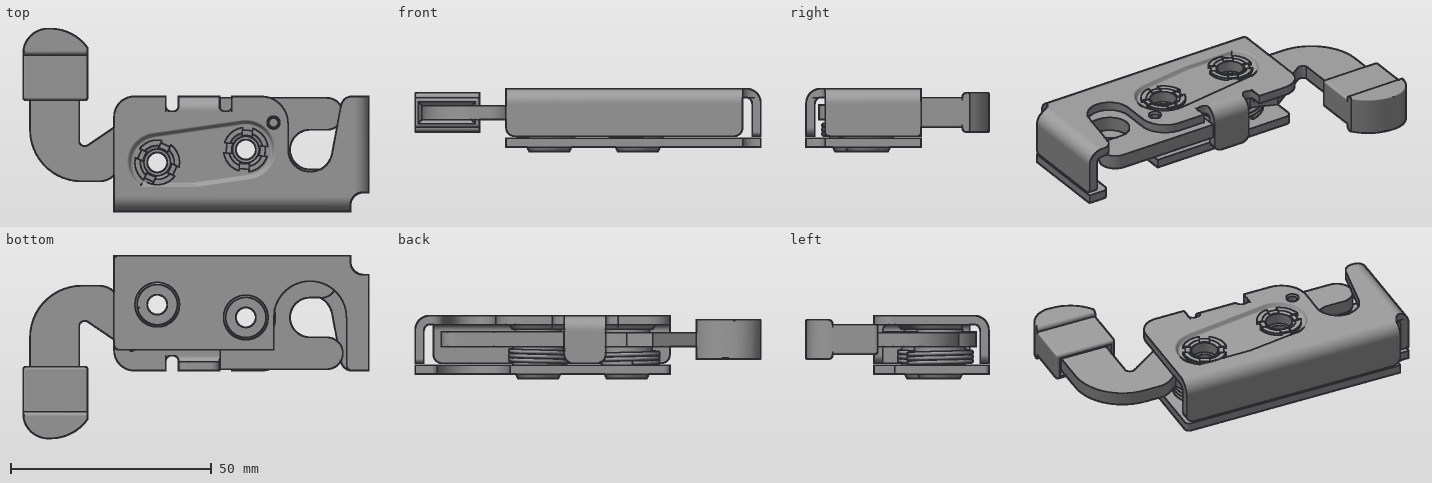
import cadquery as cq
import math


SHEET = 2.2
HOUSING_LENGTH = 63.5
HOUSING_WIDTH = 28.7
COVER_TOP = 14.6
WALL_BOTTOM = 2.7
BEND_RADIUS = 3.7
WALL_CORNER_RADIUS = 2.15
END_WALL_CORNER_RADIUS = 1.1
PANEL_CORNER_RADIUS = 5.1
COVER_UNDERSIDE = COVER_TOP - SHEET

RELIEF_X = 58.9
RELIEF_Y = 4.7
COVER_RELIEF_RADIUS = 2.9
PLATE_RELIEF_RADIUS = 3.2

TAB_START = 16.0
TAB_END = 26.3
NOTCH_WIDTH = 3.1
NOTCH_RADIUS = 1.2
TAB_BEND_Y = HOUSING_WIDTH - BEND_RADIUS

MOUTH_CENTER = (48.8, 15.4)
COVER_MOUTH_RADIUS = 5.5
COVER_MOUTH_TOP_X = 56.9
PLATE_MOUTH_RADIUS = 9.05
MOUTH_LEFT_RADIUS = 6.7
COVER_MOUTH_RIGHT_RADIUS = 2.75

PLATE_STEP_Y = 23.5
PLATE_CORNER_RADIUS = 1.1
PLATE_BACK_RADIUS = 1.5

LEVER_PIVOT = (10.8, 12.2)
ROTOR_PIVOT = (32.8, 15.4)
HOLLOW_DEPTH = 1.1
HOLLOW_RIM_RADIUS = 7.2
HOLLOW_FLOOR_RADIUS = 6.5
HOLLOW_RIM_FRONT = 6.4
HOLLOW_FLOOR_FRONT = 7.0
HOLLOW_EDGE_RADIUS = 0.5
HOLLOW_FLOOR = COVER_TOP - HOLLOW_DEPTH
HOLLOW_UNDERSIDE = COVER_UNDERSIDE - HOLLOW_DEPTH

PIN_HOLE_CENTER = (39.7, 22.1)
PIN_HOLE_DIAMETER = 2.3
PIN_SINK_DIAMETER = 3.2
PIN_SINK_ANGLE = 90

MOVING_BOTTOM = 6.8
LEVER_TOP = 10.3
ROTOR_TOP = 10.5

RIVET_SHANK = 8.4
RIVET_HEAD = 11.1
RIVET_FOOT_END = 10.0
RIVET_FOOT_HEIGHT = 1.1
RIVET_TOP = 14.0
RIVET_SHOULDER = 12.7
RIVET_COLLAR = 11.4
RIVET_HOLE = 4.9
RIVET_BORE = 6.6
RIVET_BORE_FLOOR = 10.8
RIVET_SINK_DEPTH = 0.35
RIVET_SLOT_WIDTH = 2.5
RIVET_SLOT_DEPTH = 0.3
RIVET_CORE = 9.65
LEVER_RIVET_TURN = 65
ROTOR_RIVET_TURN = 85
RIVET_SLOTS = 4

LEVER_LEFT = -20.9
LEVER_RIGHT = -8.6
LEVER_MIDDLE_X = (LEVER_LEFT + LEVER_RIGHT) / 2
LEVER_END_Y = 37.0
LEVER_BOTTOM_Y = 7.5
LEVER_BEND_RADIUS = 12.9
LEVER_HEEL_START_X = -4.0
LEVER_HEEL_POINT = (-2.1, 7.75)
LEVER_HEEL_END = (-0.4, 8.6)
LEVER_HUB_FRONT = (2.1, 10.6)
LEVER_SHOULDER = (4.3, 23.9)
LEVER_CROTCH_START = (LEVER_RIGHT, 17.2)
LEVER_CROTCH_POINT = (-7.7, 16.4)
LEVER_CROTCH_END = (-6.4, 16.6)
LEVER_MIDDLE_Z = (MOVING_BOTTOM + LEVER_TOP) / 2
LEVER_HUB_RADIUS = 9.05

GRIP_LEFT = -22.65
GRIP_RIGHT = -6.55
GRIP_MIDDLE_X = (GRIP_LEFT + GRIP_RIGHT) / 2
GRIP_BOTTOM_Y = 27.65
GRIP_TOP_Y = 45.6
GRIP_STEP_Y = 38.9
KNOB_STEP_RADIUS = 1.0
KNOB_ARC_START_Y = 39.3
KNOB_HALF_HEIGHT = 4.9
NECK_HALF_HEIGHT = 3.7
GRIP_MIDDLE_Z = 8.6
GRIP_END_RADIUS = 0.8
NECK_EDGE_RADIUS = 0.5
KNOB_EDGE_RADIUS = 0.35
SOCKET_FLARE = 0.95
KNOB_APEX = (-15.85, GRIP_TOP_Y)
KNOB_LEFT_POINT = (-20.8, 43.8)
KNOB_RIGHT_POINT = (-10.4, 44.2)
KNOB_RIGHT_END = (GRIP_RIGHT, 40.75)

ROTOR_LEFT = 26.45
ROTOR_FRONT = 3.2
ROTOR_BACK = 28.3
ROTOR_SLOT_CENTER = (48.75, 15.4)
ROTOR_SLOT_RADIUS = 4.9
UPPER_FINGER_X = 53.0
LOWER_FINGER_X = 51.7

WIRE = 1.0
COIL_PITCH = 1.08
LEVER_COIL_RADIUS = 7.75
ROTOR_COIL_RADIUS = 6.85
LEVER_COIL_TURNS = 2.5
ROTOR_COIL_TURNS = 3
COIL_START = SHEET + WIRE / 2

EDGE_REACH = 0.1

PIVOT_SPAN = math.dist(LEVER_PIVOT, ROTOR_PIVOT)
PIVOT_ANGLE = math.atan2(ROTOR_PIVOT[1] - LEVER_PIVOT[1], ROTOR_PIVOT[0] - LEVER_PIVOT[0])


def on_circle(center, radius, angle):
    return (center[0] + radius * math.cos(angle), center[1] + radius * math.sin(angle))


def block(x0, x1, y0, y1, z0, z1):
    return cq.Workplane("XY").box(x1 - x0, y1 - y0, z1 - z0, centered=False).translate((x0, y0, z0))


def disc(center, diameter, z0, z1):
    return cq.Workplane("XY", origin=(*center, z0)).circle(diameter / 2).extrude(z1 - z0)


def round_corner(body, x, y, radius):
    """Rounds the vertical edge that stands at (x, y)."""
    corner = cq.selectors.BoxSelector(
        (x - EDGE_REACH, y - EDGE_REACH, 0), (x + EDGE_REACH, y + EDGE_REACH, COVER_TOP)
    )
    return body.edges("|Z").edges(corner).fillet(radius)


def mouth_cutter(radius, top_x, z0, z1):
    """Round-bottomed mouth with an upright left side and a right side that runs to top_x."""
    top = (top_x, HOUSING_WIDTH)
    direction = math.atan2(top[1] - MOUTH_CENTER[1], top[0] - MOUTH_CENTER[0])
    touch_angle = direction - math.acos(radius / math.dist(top, MOUTH_CENTER))
    left_x = MOUTH_CENTER[0] - radius
    return (
        cq.Workplane("XY", origin=(0, 0, z0))
        .moveTo(left_x, HOUSING_WIDTH)
        .lineTo(left_x, MOUTH_CENTER[1])
        .threePointArc(
            (MOUTH_CENTER[0], MOUTH_CENTER[1] - radius),
            on_circle(MOUTH_CENTER, radius, touch_angle),
        )
        .lineTo(*top)
        .close()
        .extrude(z1 - z0)
    )


def relief_cutter(radius, z0, z1):
    cutter = block(RELIEF_X, HOUSING_LENGTH + 0.9, -0.9, RELIEF_Y, z0, z1)
    return round_corner(cutter, RELIEF_X, RELIEF_Y, radius)


def folded_wall(length):
    """Wall along +X with its outer face at y = 0 and a bend to the top, down to WALL_BOTTOM."""
    inner_radius = BEND_RADIUS - SHEET
    half = math.sqrt(0.5)
    bend_center = (BEND_RADIUS, COVER_TOP - BEND_RADIUS)
    return (
        cq.Workplane("YZ")
        .moveTo(0, WALL_BOTTOM)
        .lineTo(0, bend_center[1])
        .threePointArc(
            (bend_center[0] - BEND_RADIUS * half, bend_center[1] + BEND_RADIUS * half),
            (bend_center[0], COVER_TOP),
        )
        .lineTo(bend_center[0], COVER_UNDERSIDE)
        .threePointArc(
            (bend_center[0] - inner_radius * half, bend_center[1] + inner_radius * half),
            (SHEET, bend_center[1]),
        )
        .lineTo(SHEET, WALL_BOTTOM)
        .close()
        .extrude(length)
    )


def hollow_outline(plane, radius, front_y):
    """Hull of equal circles about both pivots, cut off straight at front_y."""
    back = PIVOT_ANGLE + math.pi / 2
    front = PIVOT_ANGLE - math.pi / 2
    front_touch = on_circle(ROTOR_PIVOT, radius, front)
    left_x = LEVER_PIVOT[0] - math.sqrt(radius**2 - (LEVER_PIVOT[1] - front_y) ** 2)
    right_x = front_touch[0] - (front_touch[1] - front_y) / math.tan(PIVOT_ANGLE)
    return (
        plane.moveTo(left_x, front_y)
        .lineTo(right_x, front_y)
        .lineTo(*front_touch)
        .threePointArc(
            on_circle(ROTOR_PIVOT, radius, PIVOT_ANGLE), on_circle(ROTOR_PIVOT, radius, back)
        )
        .lineTo(*on_circle(LEVER_PIVOT, radius, back))
        .threePointArc(on_circle(LEVER_PIVOT, radius, PIVOT_ANGLE + math.pi), (left_x, front_y))
        .close()
    )


def hollow(top):
    """Tapered plug of the pressed hollow, HOLLOW_DEPTH deep below top."""
    rim = hollow_outline(
        cq.Workplane("XY", origin=(0, 0, top)), HOLLOW_RIM_RADIUS, HOLLOW_RIM_FRONT
    )
    floor_plane = rim.workplane(offset=-HOLLOW_DEPTH)
    return hollow_outline(floor_plane, HOLLOW_FLOOR_RADIUS, HOLLOW_FLOOR_FRONT).loft(ruled=True)


def make_panel():
    """Flat top of the cover, inside the bends of the walls."""
    right_x = HOUSING_LENGTH - BEND_RADIUS
    mouth_left = MOUTH_CENTER[0] - COVER_MOUTH_RADIUS
    panel = block(0, right_x, BEND_RADIUS, HOUSING_WIDTH, COVER_UNDERSIDE, COVER_TOP)
    panel = panel.cut(
        mouth_cutter(COVER_MOUTH_RADIUS, COVER_MOUTH_TOP_X, COVER_UNDERSIDE, COVER_TOP)
    )
    panel = round_corner(panel, 0, HOUSING_WIDTH, PANEL_CORNER_RADIUS)
    panel = round_corner(panel, mouth_left, HOUSING_WIDTH, MOUTH_LEFT_RADIUS)
    panel = round_corner(panel, COVER_MOUTH_TOP_X, HOUSING_WIDTH, COVER_MOUTH_RIGHT_RADIUS)
    tab_space = block(
        TAB_START - NOTCH_WIDTH, TAB_END + NOTCH_WIDTH, TAB_BEND_Y, HOUSING_WIDTH, 0, COVER_TOP
    )
    return panel.cut(tab_space)


def make_walls():
    """Front wall, end wall and back tab, each with its bend."""
    front_wall = folded_wall(RELIEF_X + COVER_RELIEF_RADIUS)
    end_start = RELIEF_Y - COVER_RELIEF_RADIUS
    end_wall = (
        folded_wall(HOUSING_WIDTH - end_start)
        .rotate((0, 0, 0), (0, 0, 1), 90)
        .translate((HOUSING_LENGTH, end_start, 0))
    )
    tab = (
        folded_wall(TAB_END - TAB_START + 2 * NOTCH_WIDTH)
        .mirror("XZ")
        .translate((TAB_START - NOTCH_WIDTH, HOUSING_WIDTH, 0))
    )
    for notch_start in (TAB_START - NOTCH_WIDTH, TAB_END):
        notch_end = notch_start + NOTCH_WIDTH
        notch = block(notch_start, notch_end, TAB_BEND_Y, HOUSING_WIDTH + 0.9, 0, COVER_TOP)
        notch = round_corner(notch, notch_start, TAB_BEND_Y, NOTCH_RADIUS)
        notch = round_corner(notch, notch_end, TAB_BEND_Y, NOTCH_RADIUS)
        tab = tab.cut(notch)
    return front_wall.union(end_wall).union(tab)


def round_wall_corners(cover):
    """Rounds the free lower corners of the front wall, tab and end wall."""
    z0 = WALL_BOTTOM - EDGE_REACH
    z1 = WALL_BOTTOM + EDGE_REACH
    end_inside_x = HOUSING_LENGTH - SHEET
    front_and_back = cq.selectors.BoxSelector(
        (-EDGE_REACH, 0, z0), (RELIEF_X + EDGE_REACH, HOUSING_WIDTH, z1)
    )
    end = cq.selectors.BoxSelector((end_inside_x, 0, z0), (HOUSING_LENGTH, 2 * HOUSING_WIDTH, z1))
    cover = cover.edges("|Y").edges(front_and_back).fillet(WALL_CORNER_RADIUS)
    return cover.edges("|X").edges(end).fillet(END_WALL_CORNER_RADIUS)


def press_hollow(cover):
    """Presses the hollow into the panel and rounds its rim and its floor edge."""
    plug = hollow(COVER_TOP).faces("<Z").edges().fillet(HOLLOW_EDGE_RADIUS)
    cover = cover.union(hollow(COVER_UNDERSIDE)).cut(plug)
    left_x = LEVER_PIVOT[0] - HOLLOW_RIM_RADIUS - EDGE_REACH
    right_x = ROTOR_PIVOT[0] + HOLLOW_RIM_RADIUS + EDGE_REACH
    rim = cq.selectors.BoxSelector(
        (left_x, HOLLOW_RIM_FRONT - EDGE_REACH, COVER_TOP - EDGE_REACH),
        (right_x, TAB_BEND_Y - EDGE_REACH, COVER_TOP + EDGE_REACH),
        boundingbox=True,
    )
    return cover.edges(rim).fillet(HOLLOW_EDGE_RADIUS)


def make_cover():
    cover = make_panel().union(make_walls())
    cover = cover.cut(relief_cutter(COVER_RELIEF_RADIUS, COVER_UNDERSIDE, COVER_TOP))
    cover = cover.cut(
        block(RELIEF_X, HOUSING_LENGTH, 0, RELIEF_Y, WALL_BOTTOM, COVER_UNDERSIDE)
    )
    cover = round_wall_corners(cover)
    cover = press_hollow(cover)
    for pivot in (LEVER_PIVOT, ROTOR_PIVOT):
        cover = cover.cut(disc(pivot, RIVET_HEAD, HOLLOW_FLOOR, COVER_TOP))
        cover = cover.cut(disc(pivot, RIVET_SHANK, HOLLOW_UNDERSIDE, HOLLOW_FLOOR))
    return (
        cover.faces(">Z")
        .workplane(origin=(*PIN_HOLE_CENTER, COVER_TOP))
        .cskHole(PIN_HOLE_DIAMETER, PIN_SINK_DIAMETER, PIN_SINK_ANGLE)
    )


def make_plate():
    plate = block(0, HOUSING_LENGTH, 0, HOUSING_WIDTH, 0, SHEET)
    plate = plate.cut(block(-0.9, MOUTH_CENTER[0], PLATE_STEP_Y, HOUSING_WIDTH + 0.9, 0, SHEET))
    mouth_right = MOUTH_CENTER[0] + PLATE_MOUTH_RADIUS
    plate = plate.cut(mouth_cutter(PLATE_MOUTH_RADIUS, mouth_right, 0, SHEET))
    plate = plate.cut(relief_cutter(PLATE_RELIEF_RADIUS, 0, SHEET))
    plate = round_corner(plate, 0, 0, PLATE_CORNER_RADIUS)
    plate = round_corner(plate, 0, PLATE_STEP_Y, PLATE_BACK_RADIUS)
    plate = round_corner(plate, mouth_right, HOUSING_WIDTH, PLATE_BACK_RADIUS)
    for pivot in (LEVER_PIVOT, ROTOR_PIVOT):
        plate = plate.cut(disc(pivot, RIVET_SHANK, 0, SHEET))
    return plate


def make_lever():
    bend_center = (LEVER_LEFT + LEVER_BEND_RADIUS, LEVER_BOTTOM_Y + LEVER_BEND_RADIUS)
    arm = (
        cq.Workplane("XY", origin=(0, 0, MOVING_BOTTOM))
        .moveTo(LEVER_LEFT, LEVER_END_Y)
        .lineTo(LEVER_LEFT, bend_center[1])
        .threePointArc(
            on_circle(bend_center, LEVER_BEND_RADIUS, math.radians(225)),
            (bend_center[0], LEVER_BOTTOM_Y),
        )
        .lineTo(LEVER_HEEL_START_X, LEVER_BOTTOM_Y)
        .threePointArc(LEVER_HEEL_POINT, LEVER_HEEL_END)
        .lineTo(*LEVER_HUB_FRONT)
        .lineTo(*LEVER_PIVOT)
        .lineTo(LEVER_PIVOT[0], LEVER_PIVOT[1] + LEVER_HUB_RADIUS)
        .lineTo(*LEVER_SHOULDER)
        .lineTo(*LEVER_CROTCH_END)
        .threePointArc(LEVER_CROTCH_POINT, LEVER_CROTCH_START)
        .lineTo(LEVER_RIGHT, LEVER_END_Y)
        .close()
        .extrude(LEVER_TOP - MOVING_BOTTOM)
    )
    hub = disc(LEVER_PIVOT, 2 * LEVER_HUB_RADIUS, MOVING_BOTTOM, LEVER_TOP)
    return arm.union(hub).cut(disc(LEVER_PIVOT, RIVET_SHANK, MOVING_BOTTOM, LEVER_TOP))


def make_grip():
    side_profile = (
        cq.Workplane("YZ", origin=(GRIP_LEFT, 0, GRIP_MIDDLE_Z))
        .moveTo(GRIP_BOTTOM_Y, -NECK_HALF_HEIGHT)
        .lineTo(GRIP_STEP_Y, -NECK_HALF_HEIGHT)
        .lineTo(GRIP_STEP_Y, -KNOB_HALF_HEIGHT)
        .lineTo(GRIP_TOP_Y, -KNOB_HALF_HEIGHT)
        .lineTo(GRIP_TOP_Y, KNOB_HALF_HEIGHT)
        .lineTo(GRIP_STEP_Y, KNOB_HALF_HEIGHT)
        .lineTo(GRIP_STEP_Y, NECK_HALF_HEIGHT)
        .lineTo(GRIP_BOTTOM_Y, NECK_HALF_HEIGHT)
        .close()
        .extrude(GRIP_RIGHT - GRIP_LEFT)
    )
    for side in (-1, 1):
        step_edge = cq.selectors.NearestToPointSelector(
            (GRIP_MIDDLE_X, GRIP_STEP_Y, GRIP_MIDDLE_Z + side * KNOB_HALF_HEIGHT)
        )
        side_profile = side_profile.edges("|X").edges(step_edge).fillet(KNOB_STEP_RADIUS)
    top_outline = (
        cq.Workplane("XY", origin=(0, 0, GRIP_MIDDLE_Z - KNOB_HALF_HEIGHT))
        .moveTo(GRIP_LEFT, GRIP_BOTTOM_Y)
        .lineTo(GRIP_LEFT, KNOB_ARC_START_Y)
        .threePointArc(KNOB_LEFT_POINT, KNOB_APEX)
        .threePointArc(KNOB_RIGHT_POINT, KNOB_RIGHT_END)
        .lineTo(GRIP_RIGHT, GRIP_BOTTOM_Y)
        .close()
        .extrude(2 * KNOB_HALF_HEIGHT)
    )
    top_outline = top_outline.faces(">Z or <Z").edges("%CIRCLE").fillet(KNOB_EDGE_RADIUS)
    grip = side_profile.intersect(top_outline)
    neck_edges = cq.selectors.BoxSelector(
        (GRIP_LEFT - 0.9, GRIP_BOTTOM_Y, GRIP_MIDDLE_Z - NECK_HALF_HEIGHT - EDGE_REACH),
        (GRIP_RIGHT + 0.9, GRIP_STEP_Y, GRIP_MIDDLE_Z + NECK_HALF_HEIGHT + EDGE_REACH),
    )
    grip = grip.edges("|Y").edges(neck_edges).fillet(NECK_EDGE_RADIUS)
    grip = grip.faces("<Y").edges().fillet(GRIP_END_RADIUS)
    socket = block(
        LEVER_LEFT, LEVER_RIGHT, GRIP_BOTTOM_Y, LEVER_END_Y, MOVING_BOTTOM, LEVER_TOP
    )
    socket_width = LEVER_RIGHT - LEVER_LEFT
    socket_height = LEVER_TOP - MOVING_BOTTOM
    flare = (
        cq.Workplane("XZ", origin=(LEVER_MIDDLE_X, GRIP_BOTTOM_Y, LEVER_MIDDLE_Z))
        .rect(socket_width + 2 * SOCKET_FLARE, socket_height + 2 * SOCKET_FLARE)
        .workplane(offset=-SOCKET_FLARE)
        .rect(socket_width, socket_height)
        .loft(ruled=True)
    )
    return grip.cut(socket).cut(flare)


def make_rotor():
    slot_top = ROTOR_SLOT_CENTER[1] + ROTOR_SLOT_RADIUS
    slot_bottom = ROTOR_SLOT_CENTER[1] - ROTOR_SLOT_RADIUS
    upper_radius = (ROTOR_BACK - slot_top) / 2
    lower_radius = (slot_bottom - ROTOR_FRONT) / 2
    return (
        cq.Workplane("XY", origin=(0, 0, MOVING_BOTTOM))
        .moveTo(ROTOR_LEFT, ROTOR_FRONT)
        .lineTo(LOWER_FINGER_X, ROTOR_FRONT)
        .threePointArc(
            (LOWER_FINGER_X + lower_radius, ROTOR_FRONT + lower_radius),
            (LOWER_FINGER_X, slot_bottom),
        )
        .lineTo(ROTOR_SLOT_CENTER[0], slot_bottom)
        .threePointArc(
            (ROTOR_SLOT_CENTER[0] - ROTOR_SLOT_RADIUS, ROTOR_SLOT_CENTER[1]),
            (ROTOR_SLOT_CENTER[0], slot_top),
        )
        .lineTo(UPPER_FINGER_X, slot_top)
        .threePointArc(
            (UPPER_FINGER_X + upper_radius, slot_top + upper_radius),
            (UPPER_FINGER_X, ROTOR_BACK),
        )
        .lineTo(ROTOR_LEFT, ROTOR_BACK)
        .close()
        .extrude(ROTOR_TOP - MOVING_BOTTOM)
        .cut(disc(ROTOR_PIVOT, RIVET_SHANK, MOVING_BOTTOM, ROTOR_TOP))
    )


def make_rivet(pivot, pivoted_top, turn):
    """Hollow rivet through the plate, one pivoted part with its top at pivoted_top, and the cover."""
    profile = [
        (RIVET_HOLE, -RIVET_FOOT_HEIGHT),
        (RIVET_FOOT_END, -RIVET_FOOT_HEIGHT),
        (RIVET_HEAD, 0),
        (RIVET_SHANK, 0),
        (RIVET_SHANK, SHEET),
        (RIVET_SHOULDER, SHEET),
        (RIVET_SHOULDER, MOVING_BOTTOM),
        (RIVET_SHANK, MOVING_BOTTOM),
        (RIVET_SHANK, pivoted_top),
        (RIVET_COLLAR, pivoted_top),
        (RIVET_COLLAR, HOLLOW_UNDERSIDE),
        (RIVET_SHANK, HOLLOW_UNDERSIDE),
        (RIVET_SHANK, HOLLOW_FLOOR),
        (RIVET_HEAD, HOLLOW_FLOOR),
        (RIVET_HEAD, RIVET_TOP),
        (RIVET_SHANK, RIVET_TOP),
        (RIVET_BORE, RIVET_TOP - RIVET_SINK_DEPTH),
        (RIVET_BORE, RIVET_BORE_FLOOR),
        (RIVET_HOLE, RIVET_BORE_FLOOR),
    ]
    rivet = (
        cq.Workplane("XZ")
        .polyline([(diameter / 2, z) for diameter, z in profile])
        .close()
        .revolve(360, (0, 0, 0), (0, 1, 0))
    )
    half_width = RIVET_SLOT_WIDTH / 2
    slot_floor = RIVET_TOP - RIVET_SLOT_DEPTH
    slot = block(0, RIVET_CORE / 2, -half_width, half_width, slot_floor, RIVET_TOP)
    gap = block(RIVET_CORE / 2, RIVET_HEAD, -half_width, half_width, HOLLOW_FLOOR, RIVET_TOP)
    slot = slot.union(gap)
    for index in range(RIVET_SLOTS):
        slot_angle = turn + index * 360 / RIVET_SLOTS
        rivet = rivet.cut(slot.rotate((0, 0, 0), (0, 0, 1), slot_angle))
    return rivet.translate((*pivot, 0))


def coil_path(pivot, radius, start_z, turns, end_angle, left_handed):
    """Helix that rises from start_z and ends at end_angle about the pivot."""
    helix = cq.Wire.makeHelix(COIL_PITCH, COIL_PITCH * turns, radius, lefthand=left_handed)
    turning = -360 * turns if not left_handed else 360 * turns
    turned = helix.rotate(
        cq.Vector(0, 0, 0), cq.Vector(0, 0, 1), math.degrees(end_angle) + turning
    )
    return turned.translate(cq.Vector(*pivot, start_z))


def make_spring():
    """One wire: a coil about each pivot, joined by a straight link that touches both coils."""
    radius_step = LEVER_COIL_RADIUS - ROTOR_COIL_RADIUS
    touch_angle = PIVOT_ANGLE - math.acos(radius_step / PIVOT_SPAN)
    lever_coil = coil_path(
        LEVER_PIVOT, LEVER_COIL_RADIUS, COIL_START, LEVER_COIL_TURNS, touch_angle, False
    )
    rotor_coil = coil_path(
        ROTOR_PIVOT, ROTOR_COIL_RADIUS, COIL_START, ROTOR_COIL_TURNS, touch_angle, True
    )
    link = cq.Edge.makeLine(lever_coil.endPoint(), rotor_coil.endPoint())
    path = cq.Wire.combine([lever_coil, cq.Wire.assembleEdges([link]), rotor_coil])[0]
    section_plane = cq.Plane(lever_coil.startPoint(), (0, 0, 1), lever_coil.tangentAt(0))
    return (
        cq.Workplane(section_plane)
        .circle(WIRE / 2)
        .sweep(cq.Workplane(path), isFrenet=True, transition="transformed")
    )


cover = make_cover()
plate = make_plate()
lever = make_lever()
rotor = make_rotor()
spring = make_spring()
rivets = [
    make_rivet(pivot, pivoted_top, turn)
    for pivot, pivoted_top, turn in (
        (LEVER_PIVOT, LEVER_TOP, LEVER_RIVET_TURN),
        (ROTOR_PIVOT, ROTOR_TOP, ROTOR_RIVET_TURN),
    )
]
grip = make_grip()

result = cq.Compound.makeCompound(
    [
        cover.solids().val(),
        plate.solids().val(),
        lever.solids().val(),
        grip.solids().val(),
        rotor.solids().val(),
        *[rivet.solids().val() for rivet in rivets],
        spring.solids().val(),
    ]
)